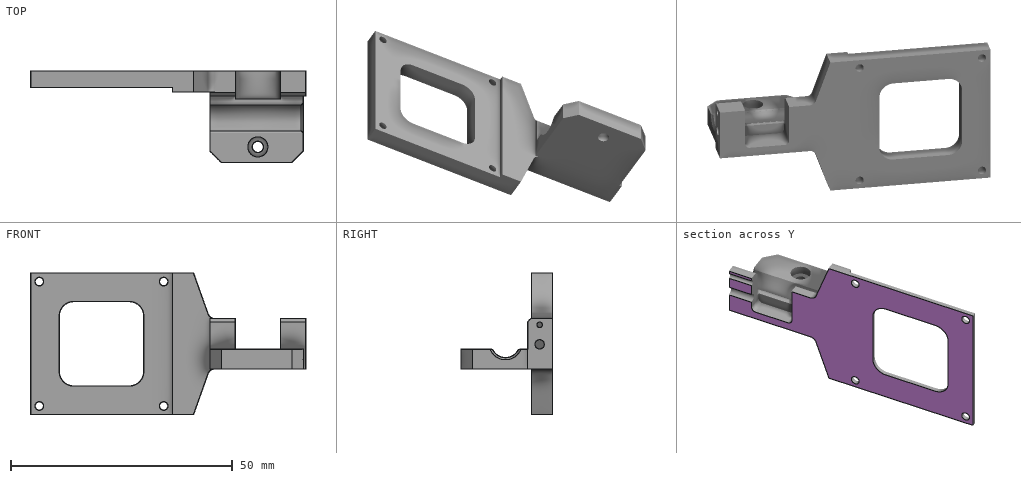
import cadquery as cq
import math


plate_size = 32.0
plate_thickness = 3.8
window_size = 19.0
window_corner_radius = 3.2
screw_hole_spacing = 28.1
screw_hole_diameter = 1.85

neck_thickness = 4.8
neck_straight_end = 36.8
neck_fillet_radius = 1.5

arm_start = 40.45
arm_end = 62.1
arm_height = 11.45
arm_depth = 5.65
arm_chamfer_depth = 0.75
arm_chamfer_height = 0.75

gap_start = 46.2
gap_end = 56.35
gap_depth_y = 6.35
gap_floor_drop = 2.5
gap_fillet_radius = 1.0

shelf_end = 61.6
shelf_depth = 20.7
shelf_height = 4.55
shelf_corner_chamfer = 2.6
groove_centre_y = -10.6
groove_radius = 3.2
groove_depth = 1.9
groove_flare = 0.5
rim_bevel_width = 0.45
rim_bevel_drop = 0.1

bolt_y = -17.15
bolt_diameter = 2.5
counterbore_diameter = 4.55
counterbore_depth = 2.0

cross_hole_y = -2.9
cross_holes = [(1.4, 1.25), (5.85, 2.1)]

plate_centre_x = plate_size / 2
half_plate = plate_size / 2
arm_top = arm_height / 2
arm_bottom = -arm_top
shelf_top = arm_bottom + shelf_height
gap_floor = shelf_top - gap_floor_drop


def box(x_range, y_range, z_range):
    """Box spanning the given (low, high) ranges."""
    sizes = [high - low for low, high in (x_range, y_range, z_range)]
    corner = (x_range[0], y_range[0], z_range[0])
    return cq.Workplane("XY").box(*sizes, centered=False).translate(corner)


def make_plate():
    plate = box((0, plate_size), (-plate_thickness, 0), (-half_plate, half_plate))
    centred = cq.Workplane("XZ").center(plate_centre_x, 0)
    window = centred.rect(window_size, window_size).extrude(plate_thickness)
    window = window.edges("|Y").fillet(window_corner_radius)
    screw_holes = (
        centred.rect(screw_hole_spacing, screw_hole_spacing, forConstruction=True)
        .vertices()
        .circle(screw_hole_diameter / 2)
        .extrude(plate_thickness)
    )
    return plate.cut(window).cut(screw_holes)


def make_neck():
    """Tapered neck with a short arm stub, filleted where they meet."""
    outline = [
        (plate_size, half_plate),
        (neck_straight_end, half_plate),
        (arm_start, arm_top),
        (gap_start, arm_top),
        (gap_start, arm_bottom),
        (arm_start, arm_bottom),
        (neck_straight_end, -half_plate),
        (plate_size, -half_plate),
    ]
    neck = cq.Workplane("XZ").polyline(outline).close().extrude(neck_thickness)
    inner_corners = cq.selectors.BoxSelector(
        (arm_start - 0.6, -neck_thickness, arm_bottom - 0.6),
        (arm_start + 0.6, 0, arm_top + 0.6),
    )
    return neck.edges("|Y").edges(inner_corners).fillet(neck_fillet_radius)


def make_arm():
    """Arm block with its upper front edge bevelled along the full length."""
    profile = [
        (0, arm_bottom),
        (0, arm_top),
        (-(arm_depth - arm_chamfer_depth), arm_top),
        (-arm_depth, arm_top - arm_chamfer_height),
        (-arm_depth, arm_bottom),
    ]
    arm = cq.Workplane("YZ", origin=(arm_start, 0, 0)).polyline(profile).close()
    return arm.extrude(arm_end - arm_start)


def make_shelf():
    shelf = box((arm_start, shelf_end), (-shelf_depth, 0), (arm_bottom, shelf_top))
    return shelf.edges("|Z and <Y").chamfer(shelf_corner_chamfer)


def make_groove():
    """Rod groove with bevelled long rims and a flared outer end."""
    axis_height = shelf_top + groove_radius - groove_depth
    half_rim = math.sqrt(groove_radius**2 - (axis_height - shelf_top) ** 2)
    length = shelf_end - arm_start
    channel = (
        cq.Workplane("YZ", origin=(arm_start, groove_centre_y, axis_height))
        .circle(groove_radius)
        .extrude(length)
    )
    flare = (
        cq.Workplane("YZ", origin=(shelf_end, groove_centre_y, axis_height))
        .circle(groove_radius + groove_flare)
        .workplane(offset=-groove_flare)
        .circle(groove_radius)
        .loft()
    )
    bevel_profile = [
        (-half_rim - rim_bevel_width, shelf_top),
        (half_rim + rim_bevel_width, shelf_top),
        (half_rim, shelf_top - rim_bevel_drop),
        (-half_rim, shelf_top - rim_bevel_drop),
    ]
    bevel = (
        cq.Workplane("YZ", origin=(arm_start, groove_centre_y, 0))
        .polyline(bevel_profile)
        .close()
        .extrude(length)
    )
    return channel.union(flare).union(bevel)


def make_gap():
    """Space between the towers, with rounded floor corners."""
    gap = box((gap_start, gap_end), (-gap_depth_y, 0), (gap_floor, arm_top))
    return gap.edges("|Y and <Z").fillet(gap_fillet_radius)


def make_bolt_hole():
    bolt_x = (gap_start + gap_end) / 2
    floor = cq.Workplane("XY", origin=(bolt_x, bolt_y, arm_bottom))
    hole = floor.circle(bolt_diameter / 2).extrude(shelf_height)
    counterbore = (
        floor.workplane(offset=shelf_height - counterbore_depth)
        .circle(counterbore_diameter / 2)
        .extrude(counterbore_depth)
    )
    return hole.union(counterbore)


def make_cross_hole(drop, diameter):
    start = (gap_end, cross_hole_y, arm_top - drop)
    hole = cq.Workplane("YZ", origin=start).circle(diameter / 2)
    return hole.extrude(arm_end - gap_end)


result = make_plate().union(make_neck()).union(make_arm()).union(make_shelf())
result = result.cut(make_groove()).cut(make_gap()).cut(make_bolt_hole())
for drop, diameter in cross_holes:
    result = result.cut(make_cross_hole(drop, diameter))